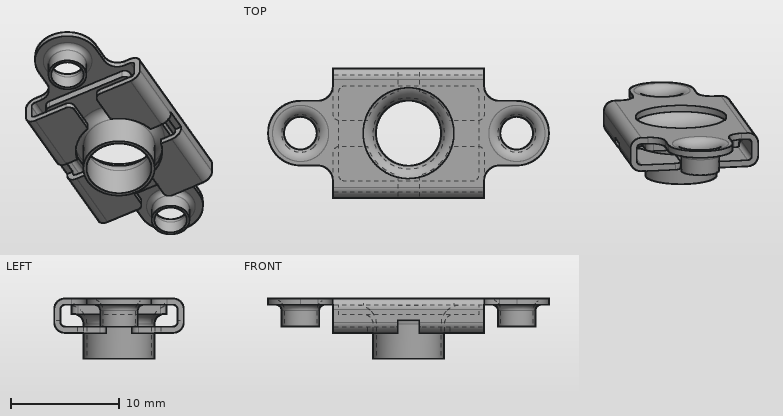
import cadquery as cq

SHEET = 0.6
BODY_LENGTH = 14.0
BODY_WIDTH = 12.0
CHANNEL_HEIGHT = 3.2
BEND_OUTER_RADIUS = 1.0
BEND_INNER_RADIUS = BEND_OUTER_RADIUS - SHEET
LIP_GAP = 2.4
LIP_CORNER_RADIUS = 0.6

OVERALL_LENGTH = 26.0
EAR_RADIUS = 3.0
EAR_OFFSET = OVERALL_LENGTH / 2 - EAR_RADIUS
EAR_ROOT_RADIUS = 1.4
COLLAR_BORE_RADIUS = 1.5
COLLAR_OUTER_RADIUS = 1.75
COLLAR_DEPTH = 2.6
COLLAR_FILLET_RADIUS = 0.5
COLLAR_BOWL_DEPTH = SHEET + COLLAR_FILLET_RADIUS

NUT_LENGTH = 13.0
NUT_WIDTH = 8.8
NUT_CORNER_RADIUS = 0.6
NUT_PLATE = 0.85
NUT_TOP = -SHEET
NUT_BORE_RADIUS = 3.0
NUT_OUTER_RADIUS = 3.3
NUT_BOTTOM = -5.6
NUT_FILLET_RADIUS = 0.9
NUT_BOWL_DEPTH = NUT_PLATE + NUT_FILLET_RADIUS

TOP_HOLE_RADIUS = 4.2
BARREL_HOLE_RADIUS = 4.0
NOTCH_WIDTH = 2.0
NOTCH_TOP = -2.0


def flared_barrel(outer_radius, fillet_radius, sheet_bottom, bottom):
    """Solid barrel that flares into the sheet above it through a concave curve."""
    flare_radius = outer_radius + fillet_radius
    return (
        cq.Workplane("XZ")
        .moveTo(0, bottom)
        .lineTo(outer_radius, bottom)
        .lineTo(outer_radius, sheet_bottom - fillet_radius)
        .tangentArcPoint((flare_radius, sheet_bottom), relative=False)
        .lineTo(0, sheet_bottom)
        .close()
        .revolve(360, (0, 0, 0), (0, 1, 0))
    )


def bowl_bore(bore_radius, bowl_depth, top, bottom):
    """Cutter for a straight bore that opens upward through a quarter-round bowl."""
    return (
        cq.Workplane("XZ")
        .moveTo(0, bottom)
        .lineTo(bore_radius, bottom)
        .lineTo(bore_radius, top - bowl_depth)
        .tangentArcPoint((bore_radius + bowl_depth, top), relative=False)
        .lineTo(0, top)
        .close()
        .revolve(360, (0, 0, 0), (0, 1, 0))
    )


def folded_channel():
    """C-shaped channel along X with two lips turned in under the plate."""
    outer = (
        cq.Workplane("XY")
        .box(BODY_LENGTH, BODY_WIDTH, CHANNEL_HEIGHT)
        .edges("|X")
        .fillet(BEND_OUTER_RADIUS)
    )
    inner = (
        cq.Workplane("XY")
        .box(BODY_LENGTH, BODY_WIDTH - 2 * SHEET, CHANNEL_HEIGHT - 2 * SHEET)
        .edges("|X")
        .fillet(BEND_INNER_RADIUS)
    )
    gap = (
        cq.Workplane("XY", origin=(0, 0, -CHANNEL_HEIGHT / 2))
        .rect(BODY_LENGTH, LIP_GAP)
        .extrude(SHEET)
    )
    channel = outer.cut(inner).cut(gap)
    lip_corners = cq.selectors.BoxSelector(
        (-BODY_LENGTH, -LIP_GAP, -CHANNEL_HEIGHT),
        (BODY_LENGTH, LIP_GAP, 0),
    )
    channel = channel.edges("|Z").edges(lip_corners).fillet(LIP_CORNER_RADIUS)
    return channel.translate((0, 0, -CHANNEL_HEIGHT / 2))


def ears():
    """Plate strip with rounded ends, blended into the channel ends at its roots."""
    strip = (
        cq.Workplane("XY")
        .slot2D(OVERALL_LENGTH, 2 * EAR_RADIUS)
        .extrude(-SHEET)
    )
    for side_x in (-1, 1):
        for side_y in (-1, 1):
            end_x = side_x * BODY_LENGTH / 2
            edge_y = side_y * EAR_RADIUS
            centre = (end_x + side_x * EAR_ROOT_RADIUS, edge_y + side_y * EAR_ROOT_RADIUS)
            web = (
                cq.Workplane("XY")
                .center((end_x + centre[0]) / 2, (edge_y + centre[1]) / 2)
                .rect(EAR_ROOT_RADIUS, EAR_ROOT_RADIUS)
                .extrude(-SHEET)
            )
            round_cut = cq.Workplane("XY").center(*centre).circle(EAR_ROOT_RADIUS).extrude(-SHEET)
            strip = strip.union(web.cut(round_cut))
    return strip


def make_bracket():
    bracket = folded_channel().union(ears())
    collar = flared_barrel(COLLAR_OUTER_RADIUS, COLLAR_FILLET_RADIUS, -SHEET, -COLLAR_DEPTH)
    bore = bowl_bore(COLLAR_BORE_RADIUS, COLLAR_BOWL_DEPTH, 0, -COLLAR_DEPTH)
    for x in (-EAR_OFFSET, EAR_OFFSET):
        bracket = bracket.union(collar.translate((x, 0, 0))).cut(bore.translate((x, 0, 0)))

    top_hole = cq.Workplane("XY").circle(TOP_HOLE_RADIUS).extrude(-SHEET)
    barrel_hole = (
        cq.Workplane("XY", origin=(0, 0, -CHANNEL_HEIGHT)).circle(BARREL_HOLE_RADIUS).extrude(SHEET)
    )
    notch = (
        cq.Workplane("XY", origin=(0, 0, -CHANNEL_HEIGHT))
        .rect(NOTCH_WIDTH, BODY_WIDTH)
        .extrude(CHANNEL_HEIGHT + NOTCH_TOP)
    )
    return bracket.cut(top_hole).cut(barrel_hole).cut(notch)


def make_nut():
    plate = (
        cq.Workplane("XY", origin=(0, 0, NUT_TOP))
        .rect(NUT_LENGTH, NUT_WIDTH)
        .extrude(-NUT_PLATE)
        .edges("|Z")
        .fillet(NUT_CORNER_RADIUS)
    )
    barrel = flared_barrel(NUT_OUTER_RADIUS, NUT_FILLET_RADIUS, NUT_TOP - NUT_PLATE, NUT_BOTTOM)
    bore = bowl_bore(NUT_BORE_RADIUS, NUT_BOWL_DEPTH, NUT_TOP, NUT_BOTTOM)
    return plate.union(barrel).cut(bore)


bracket = make_bracket()
nut = make_nut()
result = cq.Compound.makeCompound([bracket.val(), nut.val()])